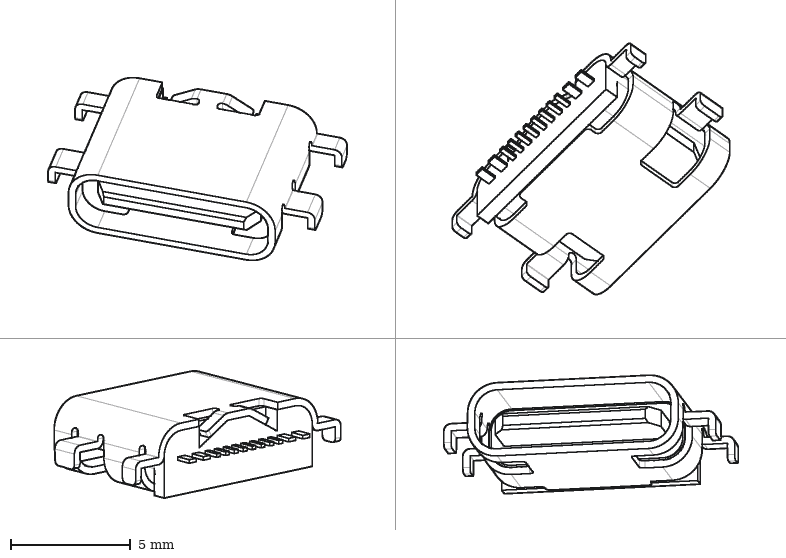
import cadquery as cq
import math


overall_width = 11.54
shell_width = 8.94
shell_height = 3.16
shell_depth = 6.5
shell_corner_radius = 1.26
sheet = 0.31
half_width = shell_width / 2
half_height = shell_height / 2
inner_half_width = half_width - sheet
inner_half_height = half_height - sheet
inner_corner_radius = shell_corner_radius - sheet
side_flat_half_height = half_height - shell_corner_radius

bend_inner_radius = 0.01
bend_outer_radius = bend_inner_radius + sheet
leg_top = side_flat_half_height - bend_inner_radius
leg_tip_z = -0.7
leg_tip_radius = 0.22
front_leg_start = 1.49
front_leg_end = 2.7
rear_leg_start = 5.68

leg_gap = 0.39
gap_top = 0.62
window_half_spacing = 2.25
window_corner_radius = 0.2
floor_end = 5.89

wing_start_x = 0.55
wing_tip_x = 1.77
wing_front = 5.85
wing_angle = math.radians(30)
wing_outer_radius = 0.51
wing_inner_radius = wing_outer_radius - sheet
wing_corner_radius = 0.12
notch_front = 5.48
notch_outer_x = 2.22
relief_inner_x = 0.4
relief_corner_radius = 0.14

core_front = 3.12
core_edge_chamfer = 0.09
foot_bottom = -1.49
recess_front = 5.78
recess_outer_x = 2.18

tongue_half_width = 3.52
tongue_thickness = 0.69
tongue_tip_y = 0.3
tongue_taper_end = 1.15
tongue_tip_half_width = 3.02
tongue_tip_chamfer = 0.15

contact_tip_y = 7.2
contact_thickness = 0.15
contact_bottom = 0.01
signal_count = 8
signal_row_span = 3.5
signal_width = 0.21
power_width = 0.39
power_positions = (2.4, 3.2)

margin = 0.12


def box(x_range, y_range, z_range):
    """Axis-aligned box between the given limits."""
    sizes = [high - low for low, high in (x_range, y_range, z_range)]
    corner = (x_range[0], y_range[0], z_range[0])
    return cq.Workplane("XY").box(*sizes, centered=False).translate(corner)


def section(y):
    """Workplane across the part at the given depth; a negative extrusion runs toward +Y."""
    return cq.Workplane("XZ", origin=(0, y, 0))


def rounded_bar(width, height, radius, start, end):
    """Bar along Y with a rounded rectangular cross-section."""
    bar = section(start).rect(width, height).extrude(start - end)
    return bar.edges("|Y").fillet(radius)


def both_sides(left):
    """The given left-hand shape and its mirror image."""
    return left.union(left.mirror("YZ"))



def leg_window(start, end):
    """Left opening through wall and floor, with rounded corners in the floor."""
    opening = box(
        (-half_width - margin, -window_half_spacing),
        (start, end),
        (-half_height - margin, side_flat_half_height),
    )
    return opening.edges("|Z and >X").fillet(window_corner_radius)


def rear_window():
    """Opening around both rear legs that also shortens the floor."""
    reach = half_width + margin
    rear = shell_depth + margin
    start = rear_leg_start - leg_gap
    side = window_half_spacing
    outline = [
        (-reach, start), (-side, start), (-side, floor_end), (side, floor_end),
        (side, start), (reach, start), (reach, rear), (-reach, rear),
    ]
    bottom = -half_height - margin
    opening = (
        cq.Workplane("XY", origin=(0, 0, bottom))
        .polyline(outline)
        .close()
        .extrude(side_flat_half_height - bottom)
    )
    inner_corners = cq.selectors.BoxSelector(
        (-side - margin, start - margin, bottom - margin),
        (side + margin, floor_end + margin, half_height),
    )
    return opening.edges("|Z").edges(inner_corners).fillet(window_corner_radius)


def gap_slot(start):
    """Round-topped slot in the left wall beside a leg."""
    radius = leg_gap / 2
    straight_height = gap_top - radius
    return (
        cq.Workplane("YZ", origin=(-half_width - margin, 0, 0))
        .moveTo(start, 0)
        .lineTo(start, straight_height)
        .threePointArc((start + radius, gap_top), (start + leg_gap, straight_height))
        .lineTo(start + leg_gap, 0)
        .close()
        .extrude(shell_corner_radius)
    )


def leg(start, end):
    """Left leg: bent out of the wall, then down at its outer end."""
    tip_x = -overall_width / 2
    leg_bottom = leg_top - sheet
    outer_x = -half_width
    inner_x = -inner_half_width
    wall_bend_x = outer_x - bend_inner_radius
    tip_bend_x = tip_x + bend_outer_radius
    tip_bend_z = leg_top - bend_outer_radius
    profile = (
        section(start)
        .moveTo(outer_x, side_flat_half_height)
        .lineTo(inner_x, side_flat_half_height)
        .radiusArc((wall_bend_x, leg_bottom), bend_outer_radius)
        .lineTo(tip_bend_x, leg_bottom)
        .radiusArc((tip_x + sheet, tip_bend_z), -bend_inner_radius)
        .lineTo(tip_x + sheet, leg_tip_z)
        .lineTo(tip_x, leg_tip_z)
        .lineTo(tip_x, tip_bend_z)
        .radiusArc((tip_bend_x, leg_top), bend_outer_radius)
        .lineTo(wall_bend_x, leg_top)
        .radiusArc((outer_x, side_flat_half_height), -bend_inner_radius)
        .close()
    )
    return profile.extrude(start - end).faces("<Z").edges("|X").fillet(leg_tip_radius)


def bend_point(radius):
    """Where a wing bend of the given radius meets the sloping part, on the left."""
    centre_z = half_height - wing_outer_radius
    x = -wing_start_x - radius * math.sin(wing_angle)
    return x, centre_z + radius * math.cos(wing_angle)


def wing():
    """Left wing: curves down from the roof and slopes outward."""
    outer_bend = bend_point(wing_outer_radius)
    inner_bend = bend_point(wing_inner_radius)
    slope_width = wing_tip_x + outer_bend[0]
    slope_drop = slope_width * math.tan(wing_angle)
    profile = (
        section(wing_front)
        .moveTo(-wing_start_x, half_height)
        .radiusArc(outer_bend, -wing_outer_radius)
        .lineTo(outer_bend[0] - slope_width, outer_bend[1] - slope_drop)
        .lineTo(inner_bend[0] - slope_width, inner_bend[1] - slope_drop)
        .lineTo(*inner_bend)
        .radiusArc((-wing_start_x, inner_half_height), wing_inner_radius)
        .close()
    )
    plate = profile.extrude(wing_front - shell_depth)
    return plate.faces("<X").edges("not |Y").fillet(wing_corner_radius)


def roof_notch():
    """Left notch in the roof around a wing, with a relief slot in front of the bend."""
    heights = (inner_half_height - margin, half_height + margin)
    clearance = box((-notch_outer_x, -wing_start_x), (wing_front - margin, shell_depth + margin), heights)
    relief = box((-notch_outer_x, -relief_inner_x), (notch_front, wing_front), heights)
    relief = relief.edges("|Z").edges(">X or <Y").fillet(relief_corner_radius)
    return clearance.union(relief)


def make_shell():
    tube = rounded_bar(shell_width, shell_height, shell_corner_radius, 0, shell_depth)
    bore = rounded_bar(
        2 * inner_half_width, 2 * inner_half_height, inner_corner_radius, 0, shell_depth
    )
    shell = tube.cut(bore)

    shell = shell.cut(both_sides(leg_window(front_leg_start - leg_gap, front_leg_end + leg_gap)))
    shell = shell.cut(rear_window())
    for gap_start in (front_leg_start - leg_gap, front_leg_end, rear_leg_start - leg_gap):
        shell = shell.cut(both_sides(gap_slot(gap_start)))
    shell = shell.cut(both_sides(roof_notch()))

    shell = shell.union(both_sides(leg(front_leg_start, front_leg_end)))
    shell = shell.union(both_sides(leg(rear_leg_start, shell_depth)))
    return shell.union(both_sides(wing()))



def core():
    """Block that fills the rear of the shell, with a foot below the shortened floor."""
    block = rounded_bar(
        2 * inner_half_width, 2 * inner_half_height, inner_corner_radius, core_front, shell_depth
    )
    block = block.faces("<Y").chamfer(core_edge_chamfer)
    foot = box(
        (-inner_half_width, inner_half_width), (floor_end, shell_depth), (foot_bottom, 0)
    )
    return block.union(foot)


def wing_recess():
    """Left recess whose floor carries the underside of a wing."""
    bend = bend_point(wing_inner_radius)
    floor_z = bend[1] - (recess_outer_x + bend[0]) * math.tan(wing_angle)
    rear = shell_depth + margin
    return (
        section(recess_front)
        .moveTo(-wing_start_x, inner_half_height)
        .radiusArc(bend, -wing_inner_radius)
        .lineTo(-recess_outer_x, floor_z)
        .lineTo(-recess_outer_x, half_height)
        .lineTo(-wing_start_x, half_height)
        .close()
        .extrude(recess_front - rear)
    )


def tongue():
    """Flat tongue that narrows toward its chamfered tip."""
    outline = [
        (-tongue_half_width, core_front + margin),
        (-tongue_half_width, tongue_taper_end),
        (-tongue_tip_half_width, tongue_tip_y),
        (tongue_tip_half_width, tongue_tip_y),
        (tongue_half_width, tongue_taper_end),
        (tongue_half_width, core_front + margin),
    ]
    blade = (
        cq.Workplane("XY", origin=(0, 0, -tongue_thickness / 2))
        .polyline(outline)
        .close()
        .extrude(tongue_thickness)
    )
    return blade.faces("<Y").edges("|X").chamfer(tongue_tip_chamfer)


def contact(x, width):
    """Contact tail that leaves the rear of the core."""
    return box(
        (x - width / 2, x + width / 2),
        (shell_depth - margin, contact_tip_y),
        (contact_bottom, contact_bottom + contact_thickness),
    )


def make_insulator():
    insulator = core().cut(both_sides(wing_recess())).union(tongue())
    signal_pitch = signal_row_span / (signal_count - 1)
    for index in range(signal_count):
        x = index * signal_pitch - signal_row_span / 2
        insulator = insulator.union(contact(x, signal_width))
    for position in power_positions:
        insulator = insulator.union(both_sides(contact(-position, power_width)))
    return insulator


shell = make_shell()
insulator = make_insulator()
result = cq.Compound.makeCompound([shell.solids().val(), insulator.solids().val()])